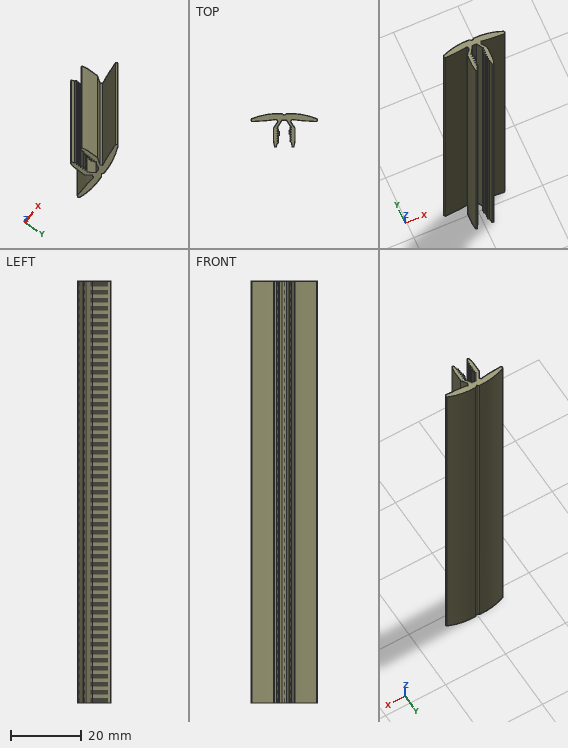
import cadquery as cq

LENGTH = 120.02
WIDTH = 19.0
DEPTH = 9.5

HALF_WIDTH = WIDTH / 2
CREST_X = 1.7
CAP_RADIUS = 20.0
RIM_TOP_X = 9.3
RIM_MIDDLE_Y = -1.9
RIM_BOTTOM_X = 9.2
RIM_BOTTOM_Y = -2.35
UNDERSIDE_BEND_X = 4.75
UNDERSIDE_BEND_Y = -2.07
UNDERSIDE_ROOT_Y = -1.75

GROOVE_HALF_WIDTH = 0.65
GROOVE_DEPTH = 0.45

NECK_OUTER_X = 1.85
NECK_INNER_X = 0.65
NECK_INNER_Y = -2.0
NECK_OUTER_Y = -2.4
ROOT_OUTER_X = 2.2
LEG_OUTER_X = 3.1
LEG_INNER_X = 1.6
SHOULDER_OUTER_Y = -4.2
SHOULDER_INNER_Y = -3.5
TAPER_TOP_Y = -7.6
TAPER_BEND_X = 2.95
TAPER_BEND_Y = -8.7
TIP_OUTER_X = 2.75
TIP_INNER_X = 2.25
NECK_EMBED_Y = -1.2

TOOTH_PITCH = 0.72
TOOTH_FLANK = 0.22
TOOTH_COUNT = 6
TOOTH_ROOT_X = 2.0
LONG_TOOTH_X = 1.3
LONG_TEETH = (1, 2)
LEFT_TEETH_TOP_Y = -4.25
RIGHT_TEETH_TOP_Y = LEFT_TEETH_TOP_Y + TOOTH_PITCH / 2


def cap_height(x):
    """Y of the curved outer face of the cap at distance x from the middle."""
    return (CAP_RADIUS**2 - (x - CREST_X) ** 2) ** 0.5 - CAP_RADIUS


def make_cap_half():
    """Right half of the cap, closed along the middle plane."""
    arc_middle_x = (RIM_TOP_X + GROOVE_HALF_WIDTH) / 2
    groove_edge_y = cap_height(GROOVE_HALF_WIDTH)
    return (
        cq.Workplane("XY")
        .moveTo(0, groove_edge_y - GROOVE_DEPTH)
        .lineTo(GROOVE_HALF_WIDTH, groove_edge_y)
        .threePointArc(
            (arc_middle_x, cap_height(arc_middle_x)),
            (RIM_TOP_X, cap_height(RIM_TOP_X)),
        )
        .lineTo(HALF_WIDTH, RIM_MIDDLE_Y)
        .lineTo(RIM_BOTTOM_X, RIM_BOTTOM_Y)
        .lineTo(UNDERSIDE_BEND_X, UNDERSIDE_BEND_Y)
        .lineTo(ROOT_OUTER_X, UNDERSIDE_ROOT_Y)
        .lineTo(NECK_INNER_X, NECK_INNER_Y)
        .lineTo(0, NECK_INNER_Y)
        .close()
        .extrude(LENGTH)
    )


def tooth_points(teeth_top_y):
    """Points of the toothed inner side of a leg, from the neck to the tip."""
    points = []
    for index in range(TOOTH_COUNT):
        tip_x = LONG_TOOTH_X if index in LONG_TEETH else LEG_INNER_X
        tooth_top_y = teeth_top_y - index * TOOTH_PITCH
        points.append((TOOTH_ROOT_X, tooth_top_y))
        points.append((tip_x, tooth_top_y - TOOTH_FLANK))
        points.append((tip_x, tooth_top_y - TOOTH_PITCH + TOOTH_FLANK))
    points.append((TOOTH_ROOT_X, teeth_top_y - TOOTH_COUNT * TOOTH_PITCH))
    return points


def make_leg(teeth_top_y):
    """Leg on the +X side of the middle plane."""
    outline = [
        (NECK_INNER_X, NECK_EMBED_Y),
        (NECK_INNER_X, NECK_INNER_Y),
        (LEG_INNER_X, SHOULDER_INNER_Y),
        *tooth_points(teeth_top_y),
        (TIP_INNER_X, -DEPTH),
        (TIP_OUTER_X, -DEPTH),
        (TAPER_BEND_X, TAPER_BEND_Y),
        (LEG_OUTER_X, TAPER_TOP_Y),
        (LEG_OUTER_X, SHOULDER_OUTER_Y),
        (NECK_OUTER_X, NECK_OUTER_Y),
        (ROOT_OUTER_X, UNDERSIDE_ROOT_Y),
        (ROOT_OUTER_X, NECK_EMBED_Y),
    ]
    return cq.Workplane("XY").polyline(outline).close().extrude(LENGTH)


cap_half = make_cap_half()
cap = cap_half.union(cap_half.mirror("YZ"))
right_leg = make_leg(RIGHT_TEETH_TOP_Y)
left_leg = make_leg(LEFT_TEETH_TOP_Y).mirror("YZ")
result = cap.union(right_leg).union(left_leg).clean()